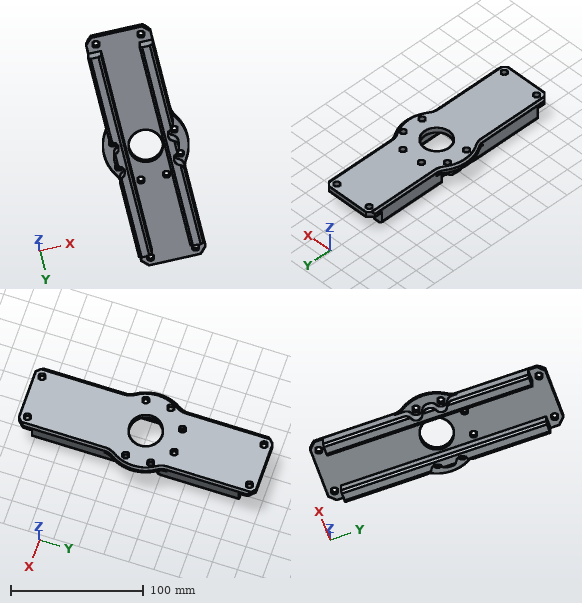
import cadquery as cq
import math

plate_length = 189.1
plate_width = 50.0
plate_thickness = 5.0
corner_cut = 5.0
edge_chamfer = 2.0

hub_radius = 32.5
hub_blend_radius = 12.0
bore_diameter = 26.0

screw_diameter = 5.3
end_hole_x = 17.5
end_hole_inset = 6.0
hub_screw_center_y = 2.0
hub_screw_near = 10.0
hub_screw_far = 24.0

total_height = 17.0
rail_height = total_height - plate_thickness
rail_width = 10.0
rail_length = 165.0
rail_chamfer = 2.0

recess_radius = 4.75
recess_lip_radius = 5.5

half_width = plate_width / 2
half_length = plate_length / 2
end_hole_y = half_length - end_hole_inset
end_holes = [(sx * end_hole_x, sy * end_hole_y) for sx in (-1, 1) for sy in (-1, 1)]
side_holes = [
    (sx * hub_screw_far, hub_screw_center_y + sy * hub_screw_near)
    for sx in (-1, 1)
    for sy in (-1, 1)
]
upper_holes = [(sx * hub_screw_near, hub_screw_center_y + hub_screw_far) for sx in (-1, 1)]


def along(start, end, distance):
    """Point at the given distance from start, on the line towards end."""
    ratio = distance / math.dist(start, end)
    return (start[0] + (end[0] - start[0]) * ratio, start[1] + (end[1] - start[1]) * ratio)


def make_strip():
    """Straight strip swelling into the round hub, with concave blends between the two."""
    blend_x = half_width + hub_blend_radius
    blend_y = math.sqrt((hub_radius + hub_blend_radius) ** 2 - blend_x ** 2)
    blend_center = (blend_x, blend_y)
    hub_x, hub_y = along((0, 0), blend_center, hub_radius)
    chord_middle = ((half_width + hub_x) / 2, (blend_y + hub_y) / 2)
    mid_x, mid_y = along(blend_center, chord_middle, hub_blend_radius)
    return (
        cq.Workplane("XY")
        .moveTo(half_width, -half_length)
        .lineTo(half_width, -blend_y)
        .threePointArc((mid_x, -mid_y), (hub_x, -hub_y))
        .threePointArc((hub_radius, 0), (hub_x, hub_y))
        .threePointArc((mid_x, mid_y), (half_width, blend_y))
        .lineTo(half_width, half_length)
        .lineTo(-half_width, half_length)
        .lineTo(-half_width, blend_y)
        .threePointArc((-mid_x, mid_y), (-hub_x, hub_y))
        .threePointArc((-hub_radius, 0), (-hub_x, -hub_y))
        .threePointArc((-mid_x, -mid_y), (-half_width, -blend_y))
        .lineTo(-half_width, -half_length)
        .close()
        .extrude(plate_thickness)
    )


def make_plate():
    """Plate with its top side edges chamfered, corners cut and ends left square."""
    chamfered_strip = make_strip().faces(">Z").edges("not(<Y or >Y)").chamfer(edge_chamfer)
    cut_cornered_bar = (
        cq.Workplane("XY")
        .rect(plate_width, plate_length)
        .extrude(plate_thickness)
        .edges("|Z")
        .chamfer(corner_cut)
    )
    hub_block = cq.Workplane("XY").rect(2 * hub_radius, 2 * hub_radius).extrude(plate_thickness)
    return chamfered_strip.intersect(cut_cornered_bar.union(hub_block))


def make_rail(side):
    """Bar under one long edge, with both bottom edges chamfered."""
    return (
        cq.Workplane("XY")
        .center(side * (half_width - rail_width / 2), 0)
        .rect(rail_width, rail_length)
        .extrude(-rail_height)
        .faces("<Z")
        .edges("|Y")
        .chamfer(rail_chamfer)
    )


def make_recess(hole):
    """Round pocket about a side screw, flaring through rounded lips into the rail's outer face."""
    hole_x, hole_y = hole
    side = math.copysign(1, hole_x)
    lip_x = half_width - recess_lip_radius
    lip_y = math.sqrt((recess_radius + recess_lip_radius) ** 2 - (lip_x - hub_screw_far) ** 2)
    lip = (lip_x, lip_y)
    neck_x, neck_y = along((hub_screw_far, 0), lip, recess_radius)
    chord_middle = ((half_width + neck_x) / 2, (lip_y + neck_y) / 2)
    mid_x, mid_y = along(lip, chord_middle, recess_lip_radius)
    return (
        cq.Workplane("XY")
        .center(0, hole_y)
        .moveTo(side * half_width, -lip_y)
        .threePointArc((side * mid_x, -mid_y), (side * neck_x, -neck_y))
        .threePointArc((side * (hub_screw_far - recess_radius), 0), (side * neck_x, neck_y))
        .threePointArc((side * mid_x, mid_y), (side * half_width, lip_y))
        .close()
        .extrude(-rail_height)
    )


def make_holes(points, diameter):
    """Round cutters through the plate."""
    return cq.Workplane("XY").pushPoints(points).circle(diameter / 2).extrude(plate_thickness)


result = make_plate()
for rail_side in (-1, 1):
    result = result.union(make_rail(rail_side))
for side_hole in side_holes:
    result = result.cut(make_recess(side_hole))
result = result.cut(make_holes(end_holes + side_holes + upper_holes, screw_diameter))
result = result.cut(make_holes([(0, 0)], bore_diameter))